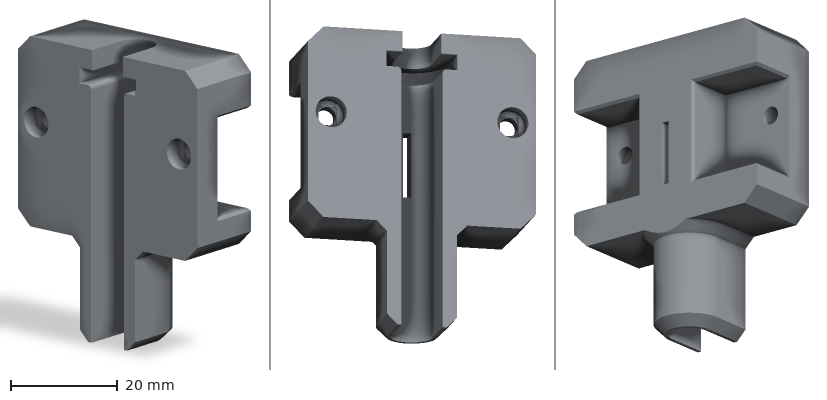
import cadquery as cq
import math

WIDTH = 44.0
DEPTH = 15.7
HEIGHT = 57.0

BLOCK_HEIGHT = 37.0
BLOCK_BOTTOM = HEIGHT - BLOCK_HEIGHT
BLOCK_CHAMFER = 3.0

NECK_RADIUS = 6.7
NECK_CHAMFER = 2.0

AXIS_Y = 8.45
CHANNEL_RADIUS = 3.95
MOUTH_RADIUS = 3.7
GROOVE_RADIUS = 6.8
GROOVE_TOP = HEIGHT - 4.0
GROOVE_BOTTOM = HEIGHT - 6.9
GROOVE_FILLET = 0.9
RIM_CHAMFER = 0.1

WINDOW_WIDTH = 1.6
WINDOW_FLARE_WIDTH = 3.3
WINDOW_FLARE_ANGLE = 24.0
WINDOW_HEIGHT = 12.4
WINDOW_CENTER_Z = 34.3

POCKET_FLOOR_Y = 5.9
POCKET_TOP = HEIGHT - 10.0
POCKET_BOTTOM = HEIGHT - 29.45
POCKET_CHAMFER = 0.5

SCREW_X = 17.5
SCREW_Z = HEIGHT - 16.5
SCREW_DIAMETER = 3.55
HEAD_DIAMETER = 6.0
HEAD_DEPTH = 3.0
STEP_DEPTH = 0.3

OVERCUT = 2.85
SELECT_MARGIN = 0.05


def box(x_range, y_range, z_range):
    """Axis-aligned box between pairs of limits."""
    limits = (x_range, y_range, z_range)
    sizes = [high - low for low, high in limits]
    corner = tuple(low for low, high in limits)
    return cq.Workplane("XY").box(*sizes, centered=False).translate(corner)


def channel_prism(radius, bottom, height, front_y, taper=0.0):
    """U-shaped prism from a flat front to a round back about the channel axis."""
    return (
        cq.Workplane("XY", origin=(0, 0, bottom))
        .moveTo(-radius, front_y)
        .lineTo(-radius, AXIS_Y)
        .threePointArc((0, AXIS_Y + radius), (radius, AXIS_Y))
        .lineTo(radius, front_y)
        .close()
        .extrude(height, taper=taper)
    )


def make_block():
    """Chamfered block with a pocket on each side of the core."""
    half_width = WIDTH / 2
    block = box((-half_width, half_width), (0, DEPTH), (BLOCK_BOTTOM, HEIGHT))
    block = block.edges("|Y").chamfer(BLOCK_CHAMFER)
    pocket_y = (POCKET_FLOOR_Y, DEPTH + OVERCUT)
    pocket_z = (POCKET_BOTTOM, POCKET_TOP)
    pockets = box((-half_width - OVERCUT, half_width + OVERCUT), pocket_y, pocket_z).cut(
        box((-NECK_RADIUS, NECK_RADIUS), pocket_y, pocket_z)
    )
    rim_edges = cq.selectors.BoxSelector(
        (-half_width - SELECT_MARGIN, POCKET_FLOOR_Y + SELECT_MARGIN, POCKET_BOTTOM - SELECT_MARGIN),
        (half_width + SELECT_MARGIN, DEPTH + SELECT_MARGIN, POCKET_TOP + SELECT_MARGIN),
    )
    outside = cq.selectors.StringSyntaxSelector("<X or >X or >Y")
    block = block.cut(pockets)
    return block.faces(outside).edges(rim_edges).chamfer(POCKET_CHAMFER)


def make_neck():
    """Neck with a chamfered lower end and a flare where it meets the block."""
    shaft = channel_prism(NECK_RADIUS, 0, BLOCK_BOTTOM, -OVERCUT)
    shaft = shaft.faces("<Z").edges("not <Y").chamfer(NECK_CHAMFER)
    flare = (
        channel_prism(NECK_RADIUS + NECK_CHAMFER, 0, NECK_CHAMFER, -OVERCUT, taper=45)
        .mirror("XY")
        .translate((0, 0, BLOCK_BOTTOM))
    )
    envelope = box((-WIDTH / 2, WIDTH / 2), (0, DEPTH), (0, BLOCK_BOTTOM))
    return shaft.union(flare).intersect(envelope)


def make_channel():
    """Cutter for the channel and flange groove, rounded below the groove and chamfered at the front."""
    lower = channel_prism(CHANNEL_RADIUS, -OVERCUT, GROOVE_BOTTOM + OVERCUT, RIM_CHAMFER)
    groove = channel_prism(GROOVE_RADIUS, GROOVE_BOTTOM, GROOVE_TOP - GROOVE_BOTTOM, RIM_CHAMFER)
    mouth = channel_prism(MOUTH_RADIUS, GROOVE_TOP, HEIGHT - GROOVE_TOP + OVERCUT, RIM_CHAMFER)
    channel_edges = cq.selectors.BoxSelector(
        (-CHANNEL_RADIUS - SELECT_MARGIN, 0, GROOVE_BOTTOM - SELECT_MARGIN),
        (CHANNEL_RADIUS + SELECT_MARGIN, AXIS_Y + CHANNEL_RADIUS, GROOVE_BOTTOM + SELECT_MARGIN),
    )
    channel = lower.union(groove).edges(channel_edges).fillet(GROOVE_FILLET).union(mouth)
    rim = channel.faces("<Y").wires().toPending().workplane().extrude(RIM_CHAMFER, taper=-45, combine=False)
    return channel.union(rim)


def make_window():
    """Cutter for the slot through the back wall, with its sloping sides next to the channel."""
    half_slot = WINDOW_WIDTH / 2
    half_flare = WINDOW_FLARE_WIDTH / 2
    flare_depth = (half_flare - half_slot) * math.tan(math.radians(WINDOW_FLARE_ANGLE))
    flare_y = AXIS_Y + math.sqrt(CHANNEL_RADIUS**2 - half_flare**2)
    slot_y = flare_y + flare_depth
    outline = [
        (-half_flare, AXIS_Y),
        (-half_flare, flare_y),
        (-half_slot, slot_y),
        (-half_slot, DEPTH + OVERCUT),
        (half_slot, DEPTH + OVERCUT),
        (half_slot, slot_y),
        (half_flare, flare_y),
        (half_flare, AXIS_Y),
    ]
    bottom = WINDOW_CENTER_Z - WINDOW_HEIGHT / 2
    return cq.Workplane("XY", origin=(0, 0, bottom)).polyline(outline).close().extrude(WINDOW_HEIGHT)


def make_screw_hole(x):
    """Cutter for a through hole whose counterbore narrows to a slot, then to a square."""
    square_depth = HEAD_DEPTH + 2 * STEP_DEPTH
    half_hole = SCREW_DIAMETER / 2
    front = cq.Workplane("XZ", origin=(x, 0, SCREW_Z))
    hole = front.circle(half_hole).extrude(-DEPTH)
    head = front.circle(HEAD_DIAMETER / 2).extrude(-HEAD_DEPTH)
    slot = front.circle(HEAD_DIAMETER / 2).extrude(-HEAD_DEPTH - STEP_DEPTH).intersect(
        box((x - half_hole, x + half_hole), (0, DEPTH), (0, HEIGHT))
    )
    square = front.rect(SCREW_DIAMETER, SCREW_DIAMETER).extrude(-square_depth)
    return hole.union(head).union(slot).union(square)


result = make_block().union(make_neck()).cut(make_channel()).cut(make_window())
for side in (-1, 1):
    result = result.cut(make_screw_hole(side * SCREW_X))